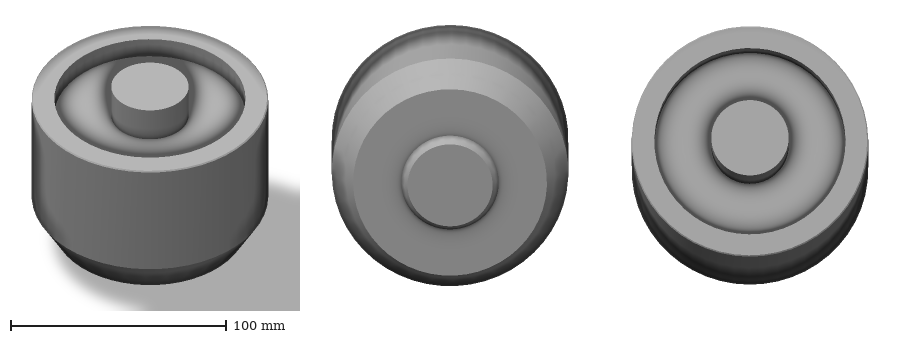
import cadquery as cq
import math

body_diameter = 110.0
total_height = 87.0
rim_chamfer = 0.5

taper_angle = math.radians(30)
foot_height = 5.0
foot_bottom_diameter = 39.6
cone_height = 17.3

pin_diameter = 36.0
pin_projection = 7.0
recess_diameter = 88.9
recess_depth = 10.0

body_radius = body_diameter / 2
foot_bottom_radius = foot_bottom_diameter / 2
foot_top_radius = foot_bottom_radius + foot_height * math.tan(taper_angle)
cone_bottom_radius = body_radius - cone_height * math.tan(taper_angle)
cone_top_level = foot_height + cone_height
rim_level = total_height - pin_projection
floor_level = rim_level - recess_depth
pin_radius = pin_diameter / 2
recess_radius = recess_diameter / 2

half_section = (
    cq.Workplane("XZ")
    .moveTo(0, 0)
    .lineTo(foot_bottom_radius, 0)
    .lineTo(foot_top_radius, foot_height)
    .lineTo(cone_bottom_radius, foot_height)
    .lineTo(body_radius, cone_top_level)
    .lineTo(body_radius, rim_level - rim_chamfer)
    .lineTo(body_radius - rim_chamfer, rim_level)
    .lineTo(recess_radius, rim_level)
    .lineTo(recess_radius, floor_level)
    .lineTo(pin_radius, floor_level)
    .lineTo(pin_radius, total_height)
    .lineTo(0, total_height)
    .close()
)

result = half_section.revolve(360, (0, 0, 0), (0, 1, 0))